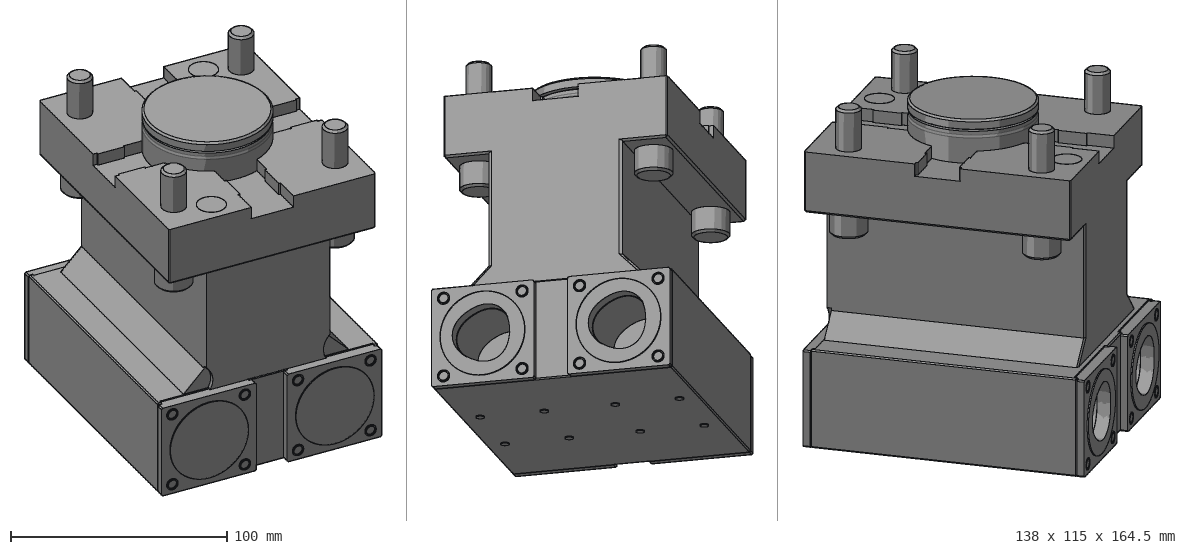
import cadquery as cq
import math

BASE_LENGTH = 129.6
BASE_WIDTH = 115.0
FOOT_HEIGHT = 0.5
BASE_TOP = 48.7
BASE_EDGE_CHAMFER = 0.7
BASE_HEIGHT = BASE_TOP - FOOT_HEIGHT

FOOT_DIAMETER = 4.0
FOOT_X = 20.4
FOOT_Y = (17.1, 48.0)

OVERALL_LENGTH = 138.0
PLATE_GAP = 16.1
DISC_HEIGHT = 0.7
PLATE_DROP = 0.7
PLATE_CHAMFER = 0.7
PLATE_THICKNESS = (OVERALL_LENGTH - BASE_LENGTH) / 2 - DISC_HEIGHT
PLATE_WIDTH = (BASE_WIDTH - PLATE_GAP) / 2
PLATE_HEIGHT = BASE_HEIGHT - PLATE_DROP
PLATE_Y = (PLATE_GAP + PLATE_WIDTH) / 2
PLATE_Z = FOOT_HEIGHT + PLATE_HEIGHT / 2
DISC_DIAMETER = 40.8
REBATE_LENGTH = 1.8
REBATE_INSET = 2.0

SCREW_OFFSET = 18.9
SCREW_HOLE_DIAMETER = 5.8
SCREW_DIAMETER = 4.5
SCREW_GROOVE_DEPTH = 0.5

PORT_RADIUS = 13.8
PORT_LOBE = 0.7
PORT_MOUTH_DEPTH = 6.5
PORT_DEPTH = 41.1
PORT_STEP = 0.3
PORT_POINTS = 24

FLANGE_LENGTH = 129.6
FLANGE_WIDTH = 107.9
FLANGE_BOTTOM = 114.5
FLANGE_TOP = 144.3
FLANGE_CHAMFER = 1.0
FLANGE_CORNER_CHAMFER = 0.7
FLANGE_X = (OVERALL_LENGTH - FLANGE_LENGTH) / 2
FLANGE_LEFT = FLANGE_X - FLANGE_LENGTH / 2

SLOT_WIDTH = 22.0
SLOT_NARROW_WIDTH = 20.2
SLOT_DEPTH = 6.1
PAD_INNER = 38.0
PAD_OUTER = 51.8
SLOT_FLOOR = FLANGE_TOP - SLOT_DEPTH

COLUMN_WIDTH = 64.5
COLUMN_FOOT_WIDTH = 86.2
COLUMN_SLOPE_TOP = BASE_TOP + (COLUMN_FOOT_WIDTH - COLUMN_WIDTH) / 2
COLUMN_BEVEL_WIDTH = 1.5
COLUMN_BEVEL_LENGTH = 0.7
COLUMN_RIGHT = BASE_LENGTH / 2

RELIEF_DIAMETER = 18.0
RELIEF_LENGTH = 2.1
RELIEF_Y = 37.8
RELIEF_RISE = 5.1
RELIEF_Z = BASE_TOP + RELIEF_RISE

BOLT_TOP = 164.5
BOLT_X = 46.9
BOLT_Y = 42.1
BOLT_DIAMETER = 12.0
HEAD_DIAMETER = 18.0
HEAD_HEIGHT = 12.2
BOLT_CHAMFER = 1.2

PIN_DIAMETER = 14.0
PIN_X = 54.0
PIN_Y = 26.2
PIN_HEIGHT = 0.08

SPIGOT_DIAMETER = 60.7
SPIGOT_TOP = 159.5
SPIGOT_CHAMFER = 1.0
GROOVE_DIAMETER = 55.1
GROOVE_TOP = 155.0
GROOVE_BOTTOM = 153.8
COLLAR_DIAMETER = 59.9
COLLAR_BOTTOM = 152.0
COLLAR_CONE_BOTTOM = 150.7


def block(x_min, x_max, width, z_min, z_max):
    """Box between two X and two Z levels, centred on Y = 0."""
    solid = cq.Workplane("XY").box(x_max - x_min, width, z_max - z_min)
    return solid.translate(((x_min + x_max) / 2, 0, (z_min + z_max) / 2))


def cylinder(diameter, x, y, z_min, z_max):
    """Upright cylinder between two Z levels."""
    return cq.Workplane("XY", origin=(x, y, z_min)).circle(diameter / 2).extrude(z_max - z_min)


def make_base():
    half_length = BASE_LENGTH / 2
    base = block(-half_length, half_length, BASE_WIDTH, FOOT_HEIGHT, BASE_TOP)
    base = base.edges().chamfer(BASE_EDGE_CHAMFER)
    for side in (-1, 1):
        rebate = cq.Workplane("XY").box(2 * REBATE_LENGTH, PLATE_WIDTH - 2 * REBATE_INSET, 2 * PLATE_DROP)
        for y in (-PLATE_Y, PLATE_Y):
            base = base.cut(rebate.translate((side * half_length, y, BASE_TOP)))
    for x in (-FOOT_X, FOOT_X):
        for y in FOOT_Y:
            for side in (-1, 1):
                base = base.union(cylinder(FOOT_DIAMETER, x, side * y, 0, BASE_HEIGHT / 2))
    return base


def make_port_plate(y):
    """Plate on the -X end with a raised disc and four flush screws."""
    plane = cq.Workplane("YZ", origin=(-BASE_LENGTH / 2, y, PLATE_Z))
    plate = plane.rect(PLATE_WIDTH, PLATE_HEIGHT).extrude(-PLATE_THICKNESS)
    plate = plate.edges("|X").chamfer(PLATE_CHAMFER)
    disc = plane.circle(DISC_DIAMETER / 2).extrude(-PLATE_THICKNESS - DISC_HEIGHT)
    screw_grooves = (
        plane.workplane(offset=-PLATE_THICKNESS)
        .rect(2 * SCREW_OFFSET, 2 * SCREW_OFFSET, forConstruction=True)
        .vertices()
        .circle(SCREW_HOLE_DIAMETER / 2)
        .circle(SCREW_DIAMETER / 2)
        .extrude(SCREW_GROOVE_DEPTH)
    )
    return plate.union(disc).cut(screw_grooves)


def lobed_prism(radius, depth, y):
    """Three-lobed bore, one lobe toward +Y, cut inward from the outer -X face."""
    points = []
    for i in range(PORT_POINTS):
        angle = 2 * math.pi * i / PORT_POINTS
        reach = radius + PORT_LOBE * math.cos(3 * angle)
        points.append((reach * math.cos(angle), reach * math.sin(angle)))
    plane = cq.Workplane("YZ", origin=(-OVERALL_LENGTH / 2, y, PLATE_Z))
    return plane.spline(points, periodic=True).close().extrude(depth)


def make_port(y):
    mouth = lobed_prism(PORT_RADIUS, PORT_MOUTH_DEPTH, y)
    bore = lobed_prism(PORT_RADIUS - PORT_STEP, PORT_DEPTH, y)
    return mouth.union(bore)


def make_column():
    top = FLANGE_BOTTOM + FLANGE_CHAMFER

    def outline(plane, inset):
        half_width = COLUMN_WIDTH / 2 - inset
        half_foot = COLUMN_FOOT_WIDTH / 2 - inset
        return plane.polyline([
            (-half_foot, BASE_TOP), (half_foot, BASE_TOP), (half_width, COLUMN_SLOPE_TOP), (half_width, top),
            (-half_width, top), (-half_width, COLUMN_SLOPE_TOP),
        ]).close()

    bevel_start = FLANGE_LEFT + COLUMN_BEVEL_LENGTH
    column = outline(cq.Workplane("YZ", origin=(bevel_start, 0, 0)), 0).extrude(COLUMN_RIGHT - bevel_start)
    face = outline(cq.Workplane("YZ", origin=(FLANGE_LEFT, 0, 0)), COLUMN_BEVEL_WIDTH)
    bevel = outline(face.workplane(offset=COLUMN_BEVEL_LENGTH), 0).loft(ruled=True)
    column = column.union(bevel)

    for y in (-RELIEF_Y, RELIEF_Y):
        plane = cq.Workplane("YZ", origin=(COLUMN_RIGHT, y, RELIEF_Z))
        column = column.cut(plane.circle(RELIEF_DIAMETER / 2).extrude(-RELIEF_LENGTH))
    return column


def make_flange():
    flange_right = FLANGE_LEFT + FLANGE_LENGTH
    flange = block(FLANGE_LEFT, flange_right, FLANGE_WIDTH, FLANGE_BOTTOM, FLANGE_TOP)
    flange = flange.edges("|Z").chamfer(FLANGE_CORNER_CHAMFER)
    flange = flange.faces("<Z").chamfer(FLANGE_CHAMFER)
    for length, turn in ((FLANGE_LENGTH, 0), (FLANGE_WIDTH, 90)):
        slot = block(-length / 2, length / 2, SLOT_WIDTH, SLOT_FLOOR, FLANGE_TOP)
        for side in (-1, 1):
            pad_ends = sorted((side * PAD_INNER, side * PAD_OUTER))
            pads = block(*pad_ends, SLOT_WIDTH, SLOT_FLOOR, FLANGE_TOP)
            pads = pads.cut(block(*pad_ends, SLOT_NARROW_WIDTH, SLOT_FLOOR, FLANGE_TOP))
            slot = slot.cut(pads)
        flange = flange.cut(slot.rotate((0, 0, 0), (0, 0, 1), turn).translate((FLANGE_X, 0, 0)))
    for side in (-1, 1):
        pin_x = FLANGE_X + side * PIN_X
        pin_y = -side * PIN_Y
        flange = flange.union(cylinder(PIN_DIAMETER, pin_x, pin_y, SLOT_FLOOR, FLANGE_TOP + PIN_HEIGHT))
    return flange


def make_bolt(x, y):
    shank = cylinder(BOLT_DIAMETER, x, y, FLANGE_BOTTOM, BOLT_TOP)
    shank = shank.faces(">Z").chamfer(BOLT_CHAMFER)
    head = cylinder(HEAD_DIAMETER, x, y, FLANGE_BOTTOM - HEAD_HEIGHT, FLANGE_BOTTOM)
    head = head.faces("<Z").chamfer(BOLT_CHAMFER)
    return shank.union(head)


def make_spigot():
    radius = SPIGOT_DIAMETER / 2
    groove_radius = GROOVE_DIAMETER / 2
    collar_radius = COLLAR_DIAMETER / 2
    profile = [
        (0, SLOT_FLOOR), (radius, SLOT_FLOOR), (radius, COLLAR_CONE_BOTTOM), (collar_radius, COLLAR_BOTTOM),
        (collar_radius, GROOVE_BOTTOM), (groove_radius, GROOVE_BOTTOM), (groove_radius, GROOVE_TOP),
        (radius, GROOVE_TOP), (radius, SPIGOT_TOP - SPIGOT_CHAMFER),
        (radius - SPIGOT_CHAMFER, SPIGOT_TOP), (0, SPIGOT_TOP),
    ]
    spigot = cq.Workplane("XZ").polyline(profile).close().revolve(360, (0, 0, 0), (0, 1, 0))
    return spigot.translate((FLANGE_X, 0, 0))


result = make_base()
for plate_y in (-PLATE_Y, PLATE_Y):
    port_plate = make_port_plate(plate_y)
    result = result.union(port_plate).union(port_plate.mirror("YZ"))
    result = result.cut(make_port(plate_y))
result = result.union(make_column()).union(make_flange()).union(make_spigot())
for bolt_x in (FLANGE_X - BOLT_X, FLANGE_X + BOLT_X):
    for bolt_y in (-BOLT_Y, BOLT_Y):
        result = result.union(make_bolt(bolt_x, bolt_y))